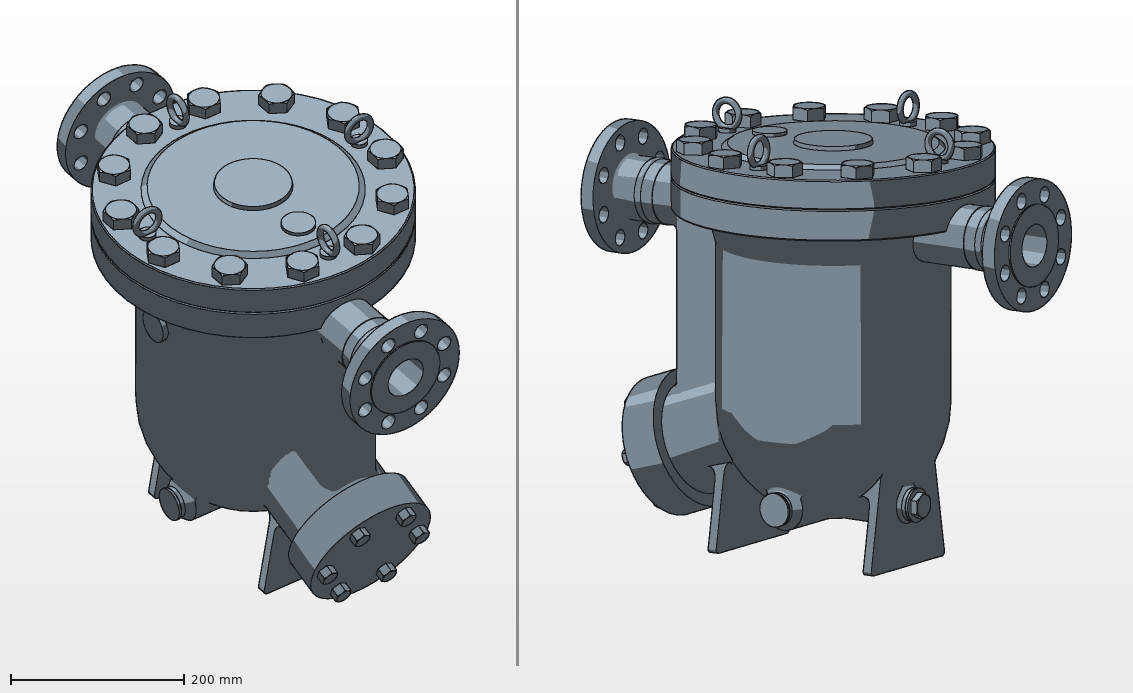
import cadquery as cq
import math


vessel_radius = 136.0
throat_radius = 147.5
cone_bottom = -30.0
dome_bottom = -354.0
dome_top = dome_bottom + vessel_radius

flange_radius = 375 / 2
flange_bottom = 10.0
flange_seam = 47.0
lid_top = 82.0
edge_chamfer = 1.5

lid_pad = (129.5, 122.5, 5.0, 0.0)
centre_pad = (47.0, 45.0, 10.0, 0.0)
side_pad = (20.0, 20.0, 9.0, 90.0)

lid_bolt_count = 12
lid_bolt_circle_radius = 163.0
lid_bolt_flats = 36.0
lid_bolt_height = 15.0

eye_circle_radius = 150.0
eye_outer_radius = 20.0
eye_wire_radius = 3.75
eye_angles = (0, 90, 180, 270)
eye_top = 122.45
eye_collar_radius = 10.0
eye_collar_height = 5.0

face_to_face = 588.0
inlet_face = -284.0
outlet_face = inlet_face + face_to_face
pipes_middle = (inlet_face + outlet_face) / 2
casting_pipe_radius = 36.8
spool_radius = 75 / 2
bead_radius = 39.0
spool_length = 74.0
bead_start = 49.0
bead_length = 9.0
raised_face_radius = 48.5
raised_face_height = 2.0
pipe_flange_radius = 155 / 2
pipe_flange_back = 19.0
pipe_flange_fillet = 4.0
pipe_bore = 50.0
pipe_bore_depth = 100.0
pipe_hole_diameter = 19.0
pipe_hole_count = 8
pipe_hole_circle_radius = 60.5

column_half_width = casting_pipe_radius
column_outer_face = 203.5
column_corner_radius = 16.5
column_bottom = -260.0
column_blend_radius = 15.0

strainer_tilt = 20.0
strainer_axis_height = -214.0
strainer_neck_radius = 67.5
strainer_neck_start = 60.0
strainer_flange_start = 202.0
strainer_neck_end = 225.5
strainer_cover_end = 249.0
strainer_flange_radius = 165 / 2
strainer_bolt_count = 6
strainer_bolt_circle_radius = 65.0
strainer_bolt_flats = 19.0
strainer_bolt_height = 12.0
strainer_blend_radius = 12.0

boss_height = -326.5
boss_radius = 27.0
boss_angles = (0, 90, 270)
boss_blend_radius = 5.0
boss_shoulder = 100.0
boss_cone_end = 110.0
boss_end = 119.0
boss_nose_radius = 38.67 / 2
boss_cap_start = 115.5
boss_cap_radius = 20.0
plug_end = 128.0
plug_flats = 27.0

gauge_boss_radius = 20.0
gauge_boss_height = -54.5
gauge_boss_face = 142.0

leg_thickness = 11.5
leg_spacing = 219.0
leg_bottom = -400.0
leg_top = -270.0
leg_bottom_half_width = 74.5
leg_top_half_width = 51.5
leg_corner_radius = 5.0
leg_blend_radius = 10.0


def cylinder(start, direction, radius, length):
    return cq.Workplane(cq.Solid.makeCylinder(radius, length, cq.Vector(*start), cq.Vector(*direction)))


def turned(shape, angle):
    return shape.rotate((0, 0, 0), (0, 0, 1), angle)


def tilted(shape):
    """Turn a shape built along +X onto the downward strainer axis."""
    return shape.rotate((0, 0, 0), (0, 1, 0), strainer_tilt).translate((0, 0, strainer_axis_height))


def joined(body, parts):
    """Fuse all the parts to the body in one step."""
    return cq.Workplane(body.val().fuse(*[part.val() for part in parts]).clean())


def blend(body, radius, is_joint):
    """Fillet the edges of body whose bounding boxes satisfy is_joint."""
    joint = [edge for edge in body.edges().vals() if is_joint(edge.BoundingBox())]
    return body.newObject(joint).fillet(radius)


def hex_head(flats, height):
    """Hexagonal head standing on Z = 0, its upper corners rounded off to a circle."""
    corner_radius = flats / math.sqrt(3)
    corner_cut = corner_radius - flats / 2
    head = cq.Workplane("XY").polygon(6, 2 * corner_radius).extrude(height)
    envelope = cq.Workplane("XY").circle(corner_radius).extrude(height)
    envelope = envelope.faces(">Z").chamfer(corner_cut * math.tan(math.radians(30)), corner_cut)
    return head.intersect(envelope)


def make_vessel():
    arc_reach = vessel_radius * math.sqrt(0.5)
    return (
        cq.Workplane("XZ")
        .moveTo(0, flange_bottom)
        .lineTo(throat_radius, flange_bottom)
        .lineTo(vessel_radius, cone_bottom)
        .lineTo(vessel_radius, dome_top)
        .threePointArc((arc_reach, dome_top - arc_reach), (0, dome_bottom))
        .close()
        .revolve(360, (0, 0, 0), (0, 1, 0))
    )


def make_dome():
    box_side = 2 * vessel_radius
    below_seam = (
        cq.Workplane("XY", origin=(0, 0, dome_top)).rect(box_side, box_side).extrude(-box_side)
    )
    return make_vessel().intersect(below_seam)


def make_disc(bottom, top):
    disc = cylinder((0, 0, bottom), (0, 0, 1), flange_radius, top - bottom)
    return disc.faces("<Z or >Z").edges().chamfer(edge_chamfer)


def make_lid_pad(base_radius, top_radius, height, x):
    return (
        cq.Workplane("XZ")
        .moveTo(0, lid_top)
        .lineTo(base_radius, lid_top)
        .lineTo(top_radius, lid_top + height)
        .lineTo(0, lid_top + height)
        .close()
        .revolve(360, (0, 0, 0), (0, 1, 0))
        .translate((x, 0, 0))
    )


def make_lid_bolts():
    step = 360 / lid_bolt_count
    head = turned(hex_head(lid_bolt_flats, lid_bolt_height), -step / 2)
    head = head.translate((lid_bolt_circle_radius, 0, lid_top))
    return [turned(head, step * (i + 0.5)) for i in range(lid_bolt_count)]


def make_eye():
    """Ring standing in a vertical plane through the vessel axis, on a round collar."""
    ring_radius = eye_outer_radius - eye_wire_radius
    centre = cq.Vector(eye_circle_radius, 0, eye_top - eye_outer_radius)
    ring = cq.Workplane(cq.Solid.makeTorus(ring_radius, eye_wire_radius, centre, cq.Vector(0, 1, 0)))
    collar = cylinder((eye_circle_radius, 0, lid_top), (0, 0, 1), eye_collar_radius, eye_collar_height)
    return ring.union(collar)


def make_inlet_pipe():
    """Flanged pipe with a blind bore, from the gasket face at X = inlet_face to the vessel axis."""
    fillet_end = pipe_flange_back + pipe_flange_fillet
    fillet_mid = pipe_flange_fillet * (1 - math.sqrt(0.5))
    bead_end = bead_start + bead_length
    pipe = (
        cq.Workplane("XY")
        .moveTo(0, 0)
        .lineTo(0, raised_face_radius)
        .lineTo(raised_face_height, raised_face_radius)
        .lineTo(raised_face_height, pipe_flange_radius)
        .lineTo(pipe_flange_back, pipe_flange_radius)
        .lineTo(pipe_flange_back, spool_radius + pipe_flange_fillet)
        .threePointArc(
            (pipe_flange_back + fillet_mid, spool_radius + fillet_mid),
            (fillet_end, spool_radius),
        )
        .lineTo(bead_start, spool_radius)
        .threePointArc((bead_start + bead_length / 2, bead_radius), (bead_end, spool_radius))
        .lineTo(spool_length, spool_radius)
        .lineTo(spool_length, casting_pipe_radius)
        .lineTo(-inlet_face, casting_pipe_radius)
        .lineTo(-inlet_face, 0)
        .close()
        .revolve(360, (0, 0, 0), (1, 0, 0))
    )
    holes = (
        cq.Workplane("YZ")
        .polarArray(pipe_hole_circle_radius, 180 / pipe_hole_count, 360, pipe_hole_count)
        .circle(pipe_hole_diameter / 2)
        .extrude(pipe_flange_back)
    )
    bore = cq.Workplane("YZ").circle(pipe_bore / 2).extrude(pipe_bore_depth)
    return pipe.cut(holes).cut(bore).translate((inlet_face, 0, 0))


def make_outlet_pipe():
    return make_inlet_pipe().mirror("YZ").translate((2 * pipes_middle, 0, 0))


def make_column():
    """Upright passage under the outlet pipe, blended into the round vessel wall."""
    blend_y = column_half_width + column_blend_radius
    blend_reach = vessel_radius + column_blend_radius
    blend_x = math.sqrt(blend_reach**2 - blend_y**2)
    wall_share = vessel_radius / blend_reach
    mid_angle = (math.atan2(blend_y, blend_x) + math.pi / 2) / 2
    wall_x = blend_x * wall_share
    wall_y = blend_y * wall_share
    mid_x = blend_x - column_blend_radius * math.cos(mid_angle)
    mid_y = blend_y - column_blend_radius * math.sin(mid_angle)
    return (
        cq.Workplane("XY", origin=(0, 0, column_bottom))
        .lineTo(wall_x, -wall_y)
        .threePointArc((mid_x, -mid_y), (blend_x, -column_half_width))
        .lineTo(column_outer_face, -column_half_width)
        .lineTo(column_outer_face, column_half_width)
        .lineTo(blend_x, column_half_width)
        .threePointArc((mid_x, mid_y), (wall_x, wall_y))
        .close()
        .extrude(-column_bottom)
        .edges("|Z and >X")
        .fillet(column_corner_radius)
    )


def make_strainer_neck():
    length = strainer_neck_end - strainer_neck_start
    return tilted(cylinder((strainer_neck_start, 0, 0), (1, 0, 0), strainer_neck_radius, length))


def make_strainer_flange(start, end):
    return tilted(cylinder((start, 0, 0), (1, 0, 0), strainer_flange_radius, end - start))


def make_strainer_bolts():
    head = hex_head(strainer_bolt_flats, strainer_bolt_height).rotate((0, 0, 0), (0, 1, 0), 90)
    head = head.translate((strainer_cover_end, strainer_bolt_circle_radius, 0))
    step = 360 / strainer_bolt_count
    return [tilted(head.rotate((0, 0, 0), (1, 0, 0), step * i)) for i in range(strainer_bolt_count)]


def make_boss():
    """Drain boss along -X."""
    return (
        cq.Workplane("XY")
        .lineTo(0, boss_radius)
        .lineTo(-boss_shoulder, boss_radius)
        .lineTo(-boss_cone_end, boss_nose_radius)
        .lineTo(-boss_cap_start, boss_nose_radius)
        .lineTo(-boss_cap_start, boss_cap_radius)
        .lineTo(-boss_end, boss_cap_radius)
        .lineTo(-boss_end, 0)
        .close()
        .revolve(360, (0, 0, 0), (1, 0, 0))
        .translate((0, 0, boss_height))
    )


def make_bossed_dome():
    """Bare dome with one drain boss along -X blended into it."""
    dome = make_dome().union(make_boss())
    joints = dome.edges("%BSPLINE").vals()
    return dome.newObject(joints).fillet(boss_blend_radius)


def make_plug_head():
    head = hex_head(plug_flats, plug_end - boss_end).rotate((0, 0, 0), (0, 1, 0), -90)
    return head.translate((-boss_end, 0, boss_height))


def make_gauge_boss():
    return cylinder((0, 0, gauge_boss_height), (0, -1, 0), gauge_boss_radius, gauge_boss_face)


def make_leg(x):
    return (
        cq.Workplane("YZ", origin=(x - leg_thickness / 2, 0, 0))
        .polyline([
            (-leg_bottom_half_width, leg_bottom),
            (leg_bottom_half_width, leg_bottom),
            (leg_top_half_width, leg_top),
            (-leg_top_half_width, leg_top),
        ])
        .close()
        .extrude(leg_thickness)
        .edges("|X and <Z")
        .fillet(leg_corner_radius)
    )


def make_blended_leg(support, x):
    """Leg centred on x, joined to its support and blended into it on both faces."""
    inner = x - leg_thickness
    outer = x + leg_thickness
    return blend(
        support.union(make_leg(x)),
        leg_blend_radius,
        lambda box: box.xmin > inner
        and box.xmax < outer
        and box.zmin > leg_bottom + leg_corner_radius + 1
        and box.ylen > 2 * leg_corner_radius + leg_thickness,
    )


def make_body():
    """Vessel with its column, both pipes and the strainer neck, blended together."""
    body = make_vessel().union(make_column()).union(make_outlet_pipe())
    body = blend(
        body,
        column_blend_radius,
        lambda box: box.xmin > column_outer_face - column_corner_radius - 1
        and box.xmax < column_outer_face + 1
        and box.zmin > -casting_pipe_radius - 1
        and box.zmax < 1,
    )
    body = body.union(make_strainer_neck())
    body = blend(
        body,
        strainer_blend_radius,
        lambda box: box.xmin > vessel_radius / 2
        and box.xmax < column_outer_face + 1
        and box.zmax < cone_bottom + column_bottom / 2
        and box.zmin > dome_bottom,
    )
    return body.union(make_inlet_pipe())


bossed_dome = make_bossed_dome()
left_leg_x = pipes_middle - leg_spacing / 2
right_leg_x = pipes_middle + leg_spacing / 2

vessel_parts = [turned(bossed_dome, angle) for angle in boss_angles]
vessel_parts.append(make_blended_leg(make_dome(), left_leg_x))
vessel_parts.append(make_blended_leg(make_strainer_neck(), right_leg_x))
vessel_parts.append(make_plug_head())
vessel_parts.append(make_gauge_boss())

lid_parts = [make_lid_pad(*pad) for pad in (lid_pad, centre_pad, side_pad)]
lid_parts += make_lid_bolts()
lid_parts += [turned(make_eye(), angle) for angle in eye_angles]

flange_parts = [make_disc(flange_bottom, flange_seam)]
flange_parts.append(joined(make_disc(flange_seam, lid_top), lid_parts))
cover_parts = [make_strainer_flange(strainer_flange_start, strainer_cover_end)]
cover_parts += make_strainer_bolts()

result = joined(make_body(), vessel_parts)
result = joined(result, flange_parts + cover_parts)